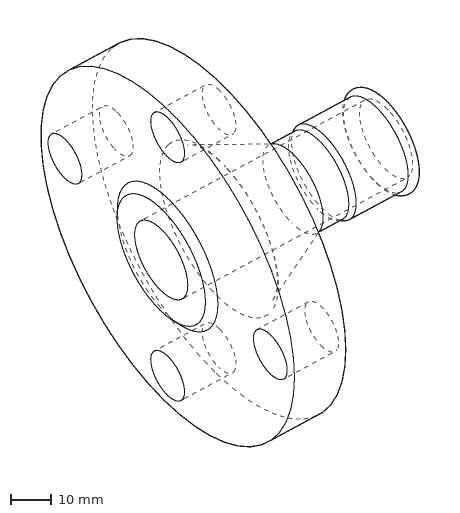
import cadquery as cq

flange_diameter = 105.0
flange_thickness = 16.0

raised_face_height = 2.0
raised_face_root_radius = 20.8
raised_face_rim_radius = 18.3

hub_root_radius = 22.1
hub_fillet_height = 2.3
hub_fillet_width = 2.5
hub_fillet_bulge = 0.3

neck_radius = 12.5
sleeve_radius = 13.4
bead_radius = 14.8
neck_length = 8.0
shoulder_length = 1.6
sleeve_length = 16.2
bead_length = 3.2
bead_end_radius = 13.6
bead_crest_from_end = 1.9

bore_diameter = 22.0
bolt_hole_diameter = 14.0
bolt_circle_diameter = 85.0
bolt_count = 4

total_length = 70.0
flange_front = raised_face_height
flange_back = flange_front + flange_thickness
hub_start = flange_back + hub_fillet_height
bead_crest = total_length - bead_crest_from_end
bead_start = total_length - bead_length
sleeve_start = bead_start - sleeve_length
neck_end = sleeve_start - shoulder_length
hub_end = neck_end - neck_length


def turned_body():
    """Revolve the half section (radius, Y) about the Y axis."""
    bore_radius = bore_diameter / 2
    flange_radius = flange_diameter / 2
    fillet_outer_radius = hub_root_radius + hub_fillet_width
    fillet_middle = (
        hub_root_radius + hub_fillet_width / 2 - hub_fillet_bulge,
        flange_back + hub_fillet_height / 2 - hub_fillet_bulge,
    )
    section = (
        cq.Workplane("XY")
        .moveTo(bore_radius, 0)
        .lineTo(raised_face_rim_radius, 0)
        .lineTo(raised_face_root_radius, flange_front)
        .lineTo(flange_radius, flange_front)
        .lineTo(flange_radius, flange_back)
        .lineTo(fillet_outer_radius, flange_back)
        .threePointArc(fillet_middle, (hub_root_radius, hub_start))
        .lineTo(neck_radius, hub_end)
        .lineTo(neck_radius, neck_end)
        .lineTo(sleeve_radius, sleeve_start)
        .lineTo(sleeve_radius, bead_start)
        .threePointArc((bead_radius, bead_crest), (bead_end_radius, total_length))
        .lineTo(bore_radius, total_length)
        .close()
    )
    return section.revolve(360, (0, 0, 0), (0, 1, 0))


def bolt_holes():
    """Cylinders on the bolt circle, running through the flange along Y."""
    return (
        cq.Workplane("XZ", origin=(0, flange_back, 0))
        .polarArray(bolt_circle_diameter / 2, 0, 360, bolt_count)
        .circle(bolt_hole_diameter / 2)
        .extrude(flange_thickness)
    )


result = turned_body().cut(bolt_holes())